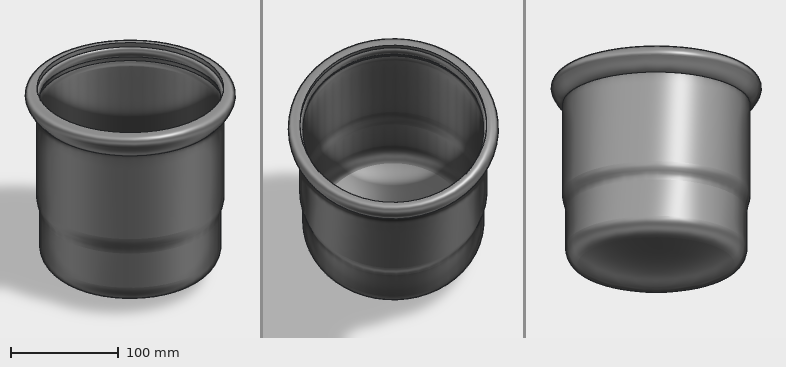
import cadquery as cq
import math

height = 198.5
body_radius = 87.0
lower_radius = 84.1
wall = 2.0

rim_outer_radius = 97.5
rim_round = 8.1
rim_drop = 3.0
flare_bottom = height - 24.5

mouth_radius = 86.5
bead_top = height - 4.5
bead_bottom = height - 15.3
bead_protrusion = 2.5
groove_radius = 87.0
groove_bottom = height - 19.2

neck_top = 85.7
neck_bottom = 68.9

crown_radius = 178.5
knuckle_radius = 18.7

neck_middle = (neck_top + neck_bottom) / 2
body_bore = body_radius - wall
lower_bore = lower_radius - wall
neck_offset = (body_radius - lower_radius) / 2
rim_centre_radius = rim_outer_radius - rim_round
rim_centre_height = height - rim_round

dish_sine = (lower_radius - knuckle_radius) / (crown_radius - knuckle_radius)
dish_angle = math.asin(dish_sine)
crown_centre = crown_radius
knuckle_centre = crown_centre - (crown_radius - knuckle_radius) * math.cos(dish_angle)


def dish_point(radius, centre_radius, centre_height, angle):
    """Point on a bottom arc, at an angle measured from straight down."""
    return (centre_radius + radius * math.sin(angle), centre_height - radius * math.cos(angle))


def bottom_points(inset):
    """Crown middle, crown-knuckle joint, knuckle middle and axis point of one skin."""
    crown = crown_radius - inset
    knuckle = knuckle_radius - inset
    knuckle_centre_radius = lower_radius - knuckle_radius
    crown_middle = dish_point(crown, 0, crown_centre, dish_angle / 2)
    joint = dish_point(crown, 0, crown_centre, dish_angle)
    knuckle_middle_angle = (dish_angle + math.pi / 2) / 2
    knuckle_middle = dish_point(
        knuckle, knuckle_centre_radius, knuckle_centre, knuckle_middle_angle
    )
    return crown_middle, joint, knuckle_middle, (0, inset)


rim_end_angle = math.asin(rim_drop / rim_round)
rim_end = (
    rim_centre_radius + rim_round * math.cos(rim_end_angle),
    rim_centre_height - rim_drop,
)
rim_middle_angle = (math.pi / 2 - rim_end_angle) / 2
rim_middle = (
    rim_centre_radius + rim_round * math.cos(rim_middle_angle),
    rim_centre_height + rim_round * math.sin(rim_middle_angle),
)

shoulder_width = groove_radius - body_bore
shoulder_height = groove_bottom - flare_bottom
shoulder_radius = (shoulder_width**2 + shoulder_height**2) / (2 * shoulder_width)
shoulder_sweep = math.asin(shoulder_height / shoulder_radius)
shoulder_middle = (
    body_bore + shoulder_radius * (1 - math.cos(shoulder_sweep / 2)),
    flare_bottom + shoulder_radius * math.sin(shoulder_sweep / 2),
)

outer_crown, outer_joint, outer_knuckle, outer_pole = bottom_points(0)
inner_crown, inner_joint, inner_knuckle, inner_pole = bottom_points(wall)

section = (
    cq.Workplane("XZ")
    .moveTo(mouth_radius, height)
    .lineTo(rim_centre_radius, height)
    .threePointArc(rim_middle, rim_end)
    .tangentArcPoint((body_radius, flare_bottom), relative=False)
    .lineTo(body_radius, neck_top)
    .tangentArcPoint((body_radius - neck_offset, neck_middle), relative=False)
    .tangentArcPoint((lower_radius, neck_bottom), relative=False)
    .lineTo(lower_radius, knuckle_centre)
    .threePointArc(outer_knuckle, outer_joint)
    .threePointArc(outer_crown, outer_pole)
    .lineTo(*inner_pole)
    .threePointArc(inner_crown, inner_joint)
    .threePointArc(inner_knuckle, (lower_bore, knuckle_centre))
    .lineTo(lower_bore, neck_bottom)
    .tangentArcPoint((lower_bore + neck_offset, neck_middle), relative=False)
    .tangentArcPoint((body_bore, neck_top), relative=False)
    .lineTo(body_bore, flare_bottom)
    .threePointArc(shoulder_middle, (groove_radius, groove_bottom))
    .lineTo(groove_radius, bead_bottom)
    .threePointArc(
        (mouth_radius - bead_protrusion, (bead_top + bead_bottom) / 2),
        (mouth_radius, bead_top),
    )
    .close()
)

result = section.revolve(360, (0, 0, 0), (0, 1, 0))